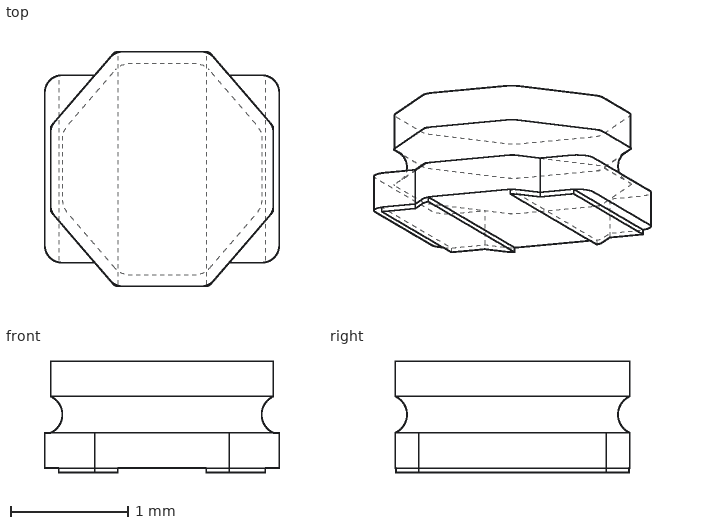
import cadquery as cq
import math

octagon_x = 1.9
octagon_y = 2.0
end_side = 0.8
lateral_side = 0.72
corner_radius = 0.15

shelf_x = 2.0
shelf_y = 1.6

terminal_height = 0.04
base_height = 0.3
waist_height = 0.31
top_height = 0.3
base_z = terminal_height
waist_z = base_z + base_height
top_z = waist_z + waist_height

groove_depth = 0.1
groove_radius = ((waist_height / 2) ** 2 + groove_depth**2) / (2 * groove_depth)

terminal_inner_x = 0.375
terminal_outer_x = 0.88
terminal_width = terminal_outer_x - terminal_inner_x
terminal_center_x = (terminal_inner_x + terminal_outer_x) / 2

quarter = [
    (octagon_x / 2, lateral_side / 2),
    (end_side / 2, octagon_y / 2),
]
octagon_points = (
    quarter
    + [(-x, y) for x, y in reversed(quarter)]
    + [(-x, -y) for x, y in quarter]
    + [(x, -y) for x, y in reversed(quarter)]
)


def sharp_octagon(z, height):
    return cq.Workplane("XY").workplane(offset=z).polyline(octagon_points).close().extrude(height)


def octagon_plate(z, height):
    return sharp_octagon(z, height).edges("|Z").fillet(corner_radius)


def base_plate(z, height):
    """Rounded rectangular shelf merged with the octagon."""
    shelf = (
        cq.Workplane("XY")
        .workplane(offset=z)
        .rect(shelf_x, shelf_y)
        .extrude(height)
        .edges("|Z")
        .fillet(corner_radius)
    )
    return shelf.union(octagon_plate(z, height))


def groove_cutter(start, end):
    """Horizontal cylinder that hollows the waist along one octagon side."""
    dx = end[0] - start[0]
    dy = end[1] - start[1]
    length = math.hypot(dx, dy)
    axis = cq.Vector(dx / length, dy / length, 0)
    outward = cq.Vector(dy / length, -dx / length, 0)
    middle = cq.Vector((start[0] + end[0]) / 2, (start[1] + end[1]) / 2, waist_z + waist_height / 2)
    center = middle + outward * (groove_radius - groove_depth)
    cutter_length = 2 * length
    return cq.Solid.makeCylinder(groove_radius, cutter_length, center - axis * length, axis)


def grooved_waist():
    waist = sharp_octagon(waist_z, waist_height)
    next_points = octagon_points[1:] + octagon_points[:1]
    for start, end in zip(octagon_points, next_points):
        waist = waist.cut(cq.Workplane(groove_cutter(start, end)))
    return waist.edges("not(#Z)").fillet(corner_radius)


def make_core():
    base = base_plate(base_z, base_height)
    top = octagon_plate(top_z, top_height)
    return base.union(grooved_waist()).union(top)


def make_terminal(side):
    """Strip that follows the base outline; side is -1 or 1 along X."""
    strip = (
        cq.Workplane("XY")
        .center(side * terminal_center_x, 0)
        .rect(terminal_width, octagon_y)
        .extrude(terminal_height)
    )
    return base_plate(0, terminal_height).intersect(strip)


core = make_core()
terminals = [make_terminal(side) for side in (-1, 1)]

result = cq.Compound.makeCompound([core.val(), *[terminal.val() for terminal in terminals]])